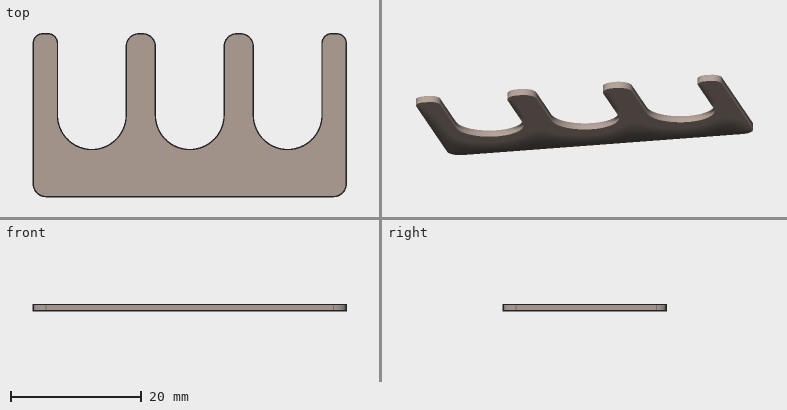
import cadquery as cq

length = 48.0
width = 25.0
thickness = 1.0

slot_count = 3
slot_pitch = 15.0
slot_width = 10.5
slot_radius = slot_width / 2
slot_center_y = 0.0

base_corner_radius = 2.0
outer_tip_radius = 1.5
inner_tip_radius = 2.0

back_y = width / 2
last_slot_x = (slot_count - 1) / 2 * slot_pitch


def make_slot(center_x):
    """Cutter for one slot: a round bottom with straight sides out to the +Y edge."""
    return (
        cq.Workplane("XY")
        .moveTo(center_x - slot_radius, back_y)
        .lineTo(center_x - slot_radius, slot_center_y)
        .threePointArc(
            (center_x, slot_center_y - slot_radius),
            (center_x + slot_radius, slot_center_y),
        )
        .lineTo(center_x + slot_radius, back_y)
        .close()
        .extrude(thickness)
    )


def make_plate():
    """Flat plate with its slots, all corners still sharp."""
    plate = cq.Workplane("XY").box(length, width, thickness, centered=(True, True, False))
    for index in range(slot_count):
        center_x = index * slot_pitch - last_slot_x
        plate = plate.cut(make_slot(center_x))
    return plate


def round_corners(plate):
    """Round the base corners, the tips of the two end fingers and those of the inner fingers."""
    def is_inner(edge):
        return abs(edge.Center().x) < last_slot_x

    base_corners = plate.edges("|Z and <Y").vals()
    tip_corners = plate.edges("|Z and >Y").vals()
    inner_tips = [edge for edge in tip_corners if is_inner(edge)]
    outer_tips = [edge for edge in tip_corners if not is_inner(edge)]

    plate = plate.newObject(base_corners).fillet(base_corner_radius)
    plate = plate.newObject(outer_tips).fillet(outer_tip_radius)
    return plate.newObject(inner_tips).fillet(inner_tip_radius)


result = round_corners(make_plate())